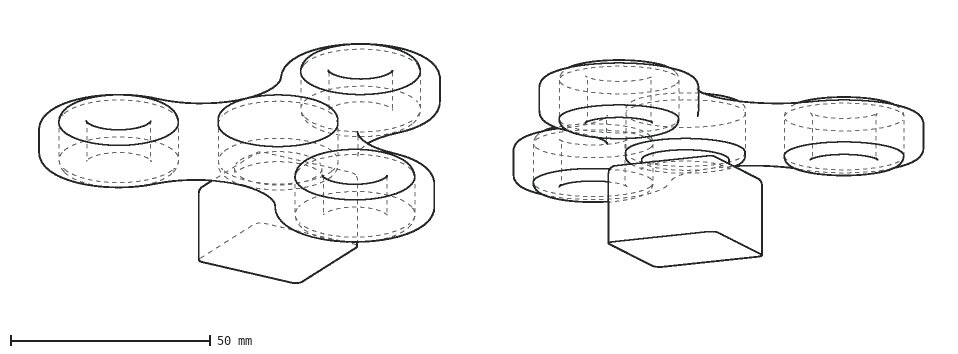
import cadquery as cq
import math

overall_width = 109.3
lobe_count = 3
lobe_radius = overall_width / (2 * (1 + math.sqrt(3)))
lobe_distance = 2 * lobe_radius
plate_thickness = 10.0
edge_fillet = 2.0

weight_diameter = 30.0
weight_hole_diameter = 16.0
weight_height = plate_thickness + 2 * edge_fillet

hub_diameter = weight_diameter
hub_height = weight_height
hub_fillet = 1.0
neck_diameter = 22.0
neck_height = 3.1
base_side = hub_diameter
base_height = 20.0

lobe_step = 360 / lobe_count
first_lobe_angle = 90
lobe_angles = [first_lobe_angle + i * lobe_step for i in range(lobe_count)]


def polar(distance, angle):
    """Point at a distance from the plate centre, with the angle in degrees."""
    return (
        distance * math.cos(math.radians(angle)),
        distance * math.sin(math.radians(angle)),
    )


def cylinder(diameter, height, bottom):
    return cq.Workplane("XY").workplane(offset=bottom).circle(diameter / 2).extrude(height)


def make_plate():
    tangent_distance = lobe_distance * math.cos(math.radians(lobe_step / 4))
    tip_distance = lobe_distance + lobe_radius
    waist_distance = lobe_distance - lobe_radius
    outline = cq.Workplane("XY").workplane(offset=-plate_thickness / 2)
    outline = outline.moveTo(*polar(tangent_distance, first_lobe_angle - lobe_step / 4))
    for angle in lobe_angles:
        outline = outline.threePointArc(
            polar(tip_distance, angle),
            polar(tangent_distance, angle + lobe_step / 4),
        )
        outline = outline.threePointArc(
            polar(waist_distance, angle + lobe_step / 2),
            polar(tangent_distance, angle + lobe_step * 3 / 4),
        )
    body = outline.close().extrude(plate_thickness)
    body = body.faces("<Z or >Z").edges().fillet(edge_fillet)

    weight_hole = cylinder(weight_diameter, plate_thickness, -plate_thickness / 2)
    for angle in lobe_angles:
        body = body.cut(weight_hole.translate((*polar(lobe_distance, angle), 0)))
    return body.cut(cylinder(hub_diameter, plate_thickness, -plate_thickness / 2))


def make_weight(angle):
    ring = cylinder(weight_diameter, weight_height, -weight_height / 2)
    ring = ring.cut(cylinder(weight_hole_diameter, weight_height, -weight_height / 2))
    ring = ring.faces("<Z or >Z").edges().fillet(edge_fillet)
    return ring.translate((*polar(lobe_distance, angle), 0))


def make_stand():
    hub = cylinder(hub_diameter, hub_height, -hub_height / 2)
    hub = hub.faces("<Z or >Z").edges().fillet(hub_fillet)

    base_top = -hub_height / 2 - neck_height
    base = cq.Workplane("XY").workplane(offset=base_top - base_height)
    base = base.rect(base_side, base_side).extrude(base_height)
    base = base.edges("|Z or >Z").fillet(edge_fillet)

    neck = cylinder(neck_diameter, neck_height, base_top)
    base = base.union(neck)
    foot_zone = cq.selectors.BoxSelector(
        (-neck_diameter, -neck_diameter, base_top - hub_fillet),
        (neck_diameter, neck_diameter, base_top + hub_fillet),
    )
    base = base.edges("%CIRCLE").edges(foot_zone).fillet(hub_fillet)
    return hub.union(base)


plate = make_plate()
weights = [make_weight(angle) for angle in lobe_angles]
stand = make_stand()

result = cq.Compound.makeCompound(
    [plate.val(), *[weight.val() for weight in weights], stand.val()]
)